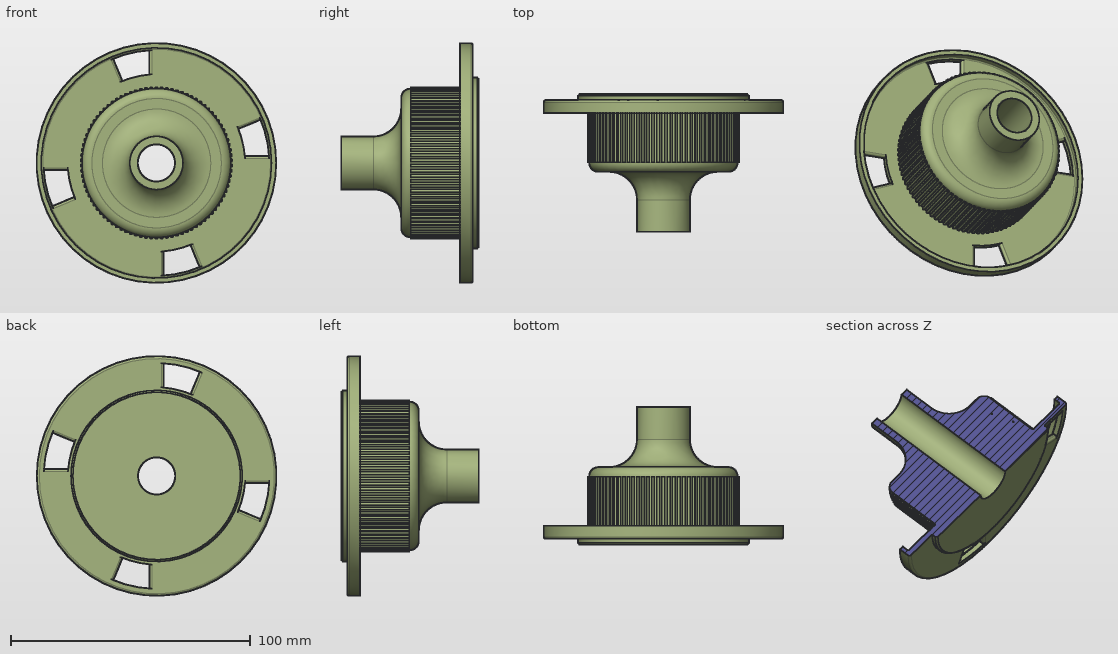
import cadquery as cq
import math


flange_radius = 50.0
flange_back = 2.5
flange_front = 8.0
flange_back_fillet = 1.0
rim_width = 2.0
recess_depth = 3.0
recess_fillet = 0.5

pad_radius = 35.7
pad_chamfer = 0.8

hub_radius = 31.0
hub_front = 32.5
hub_fillet = 4.0
nose_radius = 11.1
nose_front = 57.5
flare_radius = 11.5
bore_radius = 7.7

rib_count = 90
rib_radius = 0.6
first_rib_angle = 90.0

window_count = 4
window_inner_radius = 37.0
window_outer_radius = 47.0
window_side_offset = 3.0
window_slant_angle = 22.5
window_side_fillet = 1.0
edge_search_margin = 0.1

recess_floor = flange_front - recess_depth
recess_radius = flange_radius - rim_width
hub_shoulder = hub_front - hub_fillet


def plane_at(distance):
    """XZ plane at a distance in front of the back face, with its normal toward the nose."""
    return cq.Workplane("XZ", origin=(0, -distance, 0))


def cylinder(radius, start, end):
    return plane_at(start).circle(radius).extrude(end - start)


def make_flange():
    flange = cylinder(flange_radius, flange_back, flange_front)
    flange = flange.faces(">Y").edges().fillet(flange_back_fillet)
    recess = cylinder(recess_radius, recess_floor, flange_front)
    recess = recess.faces(">Y").edges().fillet(recess_fillet)
    return flange.cut(recess)


def make_pad():
    return cylinder(pad_radius, 0, flange_back).faces(">Y").edges().chamfer(pad_chamfer)


def make_hub():
    """Hub, flare and nose as one turned body; the sketch uses radius along X and -Y forward."""
    diagonal = math.sqrt(0.5)
    flare_outer_radius = nose_radius + flare_radius
    flare_end = hub_front + flare_radius
    fillet_middle = (
        hub_radius - hub_fillet * (1 - diagonal),
        -(hub_shoulder + hub_fillet * diagonal),
    )
    flare_middle = (
        flare_outer_radius - flare_radius * diagonal,
        -(flare_end - flare_radius * diagonal),
    )
    return (
        cq.Workplane("XY")
        .moveTo(0, -flange_back)
        .lineTo(hub_radius, -flange_back)
        .lineTo(hub_radius, -hub_shoulder)
        .threePointArc(fillet_middle, (hub_radius - hub_fillet, -hub_front))
        .lineTo(flare_outer_radius, -hub_front)
        .threePointArc(flare_middle, (nose_radius, -flare_end))
        .lineTo(nose_radius, -nose_front)
        .lineTo(0, -nose_front)
        .close()
        .revolve(360, (0, 0, 0), (0, 1, 0))
    )


def make_ribs():
    """Straight round ribs along the hub, each centred on the hub surface."""
    return (
        plane_at(recess_floor)
        .polarArray(hub_radius, first_rib_angle, 360, rib_count)
        .circle(rib_radius)
        .extrude(hub_shoulder - recess_floor)
    )


def half_space_left_of(offset, angle):
    """Block whose right side is parallel to the radial line at this angle from +Z, shifted by the offset."""
    size = 2 * flange_radius
    block = cq.Workplane("XY").box(size, size, 2 * size).translate((-size / 2 - offset, 0, 0))
    return block.rotate((0, 0, 0), (0, 1, 0), -angle)


def window_shape(start, end):
    """Ring sector above the axis, between the upright side and the slanted side."""
    ring = cylinder(window_outer_radius, start, end).cut(cylinder(window_inner_radius, start, end))
    above_axis = cq.Workplane("XY").box(
        2 * flange_radius, 2 * flange_radius, flange_radius, centered=(True, True, False)
    )
    return (
        ring.intersect(above_axis)
        .intersect(half_space_left_of(window_side_offset, 0))
        .cut(half_space_left_of(0, window_slant_angle))
    )


def cut_windows(body):
    window = window_shape(flange_back, recess_floor)
    for index in range(window_count):
        body = body.cut(window.rotate((0, 0, 0), (0, 1, 0), index * 360 / window_count))
    return body


def round_window_sides(flange):
    """Round the straight window edges on the recess floor and on the back of the flange."""
    for depth in (recess_floor, flange_back):
        slab = cq.selectors.BoxSelector(
            (-flange_radius, -depth - edge_search_margin, -flange_radius),
            (flange_radius, -depth + edge_search_margin, flange_radius),
        )
        flange = flange.edges(slab).edges("%LINE").fillet(window_side_fillet)
    return flange


flange = round_window_sides(cut_windows(make_flange()))
body = flange.union(make_pad()).union(make_hub()).union(make_ribs())
result = body.cut(cylinder(bore_radius, 0, nose_front))